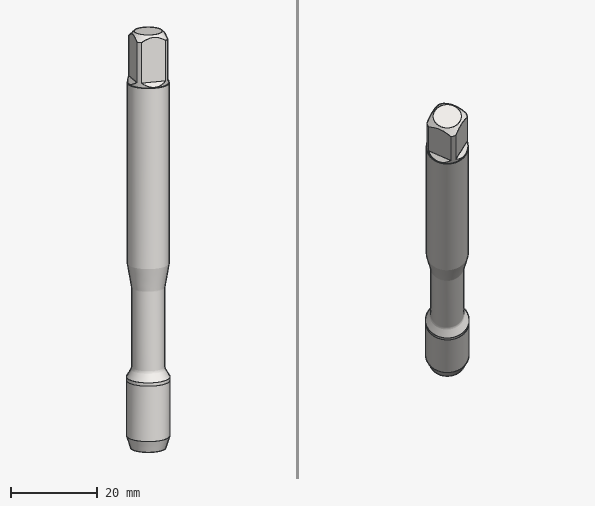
import cadquery as cq
import math

total_length = 100.1
thread_length = 16.2
collar_top = 17.0
neck_top = 38.5
shank_start = 44.2
shank_end = 87.7
flat_end = 88.9

thread_diameter = 10.1
tip_diameter = 8.2
neck_diameter = 7.7
shank_diameter = 9.7
square_corner_diameter = 9.5
end_face_diameter = 6.5

lead_length = 2.9
collar_half_angle = 30.0
neck_fillet = 1.2
square_width = 7.5

thread_radius = thread_diameter / 2
tip_radius = tip_diameter / 2
neck_radius = neck_diameter / 2
shank_radius = shank_diameter / 2
corner_radius = square_corner_diameter / 2
end_face_radius = end_face_diameter / 2

neck_start = collar_top + (thread_radius - neck_radius) / math.tan(math.radians(collar_half_angle))

shoulder_bevel = shank_radius - corner_radius
end_bevel = corner_radius - end_face_radius


def revolve_profile(points):
    """Revolve a closed (radius, height) outline about the Z axis."""
    return cq.Workplane("XZ").polyline(points).close().revolve(360, (0, 0, 0), (0, 1, 0))


def make_threaded_section():
    """Plain cylinder standing for the thread, tapered towards the tip."""
    return revolve_profile([
        (0, 0),
        (tip_radius, 0),
        (thread_radius, lead_length),
        (thread_radius, thread_length),
        (0, thread_length),
    ])


def make_turned_shank():
    """Round body from the collar to the driving end."""
    turned = revolve_profile([
        (0, thread_length),
        (thread_radius, thread_length),
        (thread_radius, collar_top),
        (neck_radius, neck_start),
        (neck_radius, neck_top),
        (shank_radius, shank_start),
        (shank_radius, shank_end),
        (corner_radius, shank_end + shoulder_bevel),
        (corner_radius, total_length - end_bevel),
        (end_face_radius, total_length),
        (0, total_length),
    ])
    neck_ends = cq.selectors.BoxSelector(
        (-shank_diameter, -shank_diameter, (collar_top + neck_start) / 2),
        (shank_diameter, shank_diameter, (neck_top + shank_start) / 2),
    )
    return turned.edges("%CIRCLE").edges(neck_ends).fillet(neck_fillet)


def make_flat_cutter():
    """Cutter for one flat of the square, with a 45 degree run-out onto the shank."""
    half_width = square_width / 2
    runout = shank_radius - half_width
    outer = half_width + 2 * runout
    return (
        cq.Workplane("XZ")
        .polyline([
            (half_width, flat_end),
            (outer, flat_end - 2 * runout),
            (outer, total_length),
            (half_width, total_length),
        ])
        .close()
        .extrude(shank_radius, both=True)
    )


def make_shank():
    """Turned shank with four flats forming the driving square."""
    shank = make_turned_shank()
    cutter = make_flat_cutter()
    flat_count = 4
    for index in range(flat_count):
        shank = shank.cut(cutter.rotate((0, 0, 0), (0, 0, 1), index * 360 / flat_count))
    return shank


threaded_section = make_threaded_section()
shank = make_shank()

result = cq.Compound.makeCompound([threaded_section.val(), shank.val()])